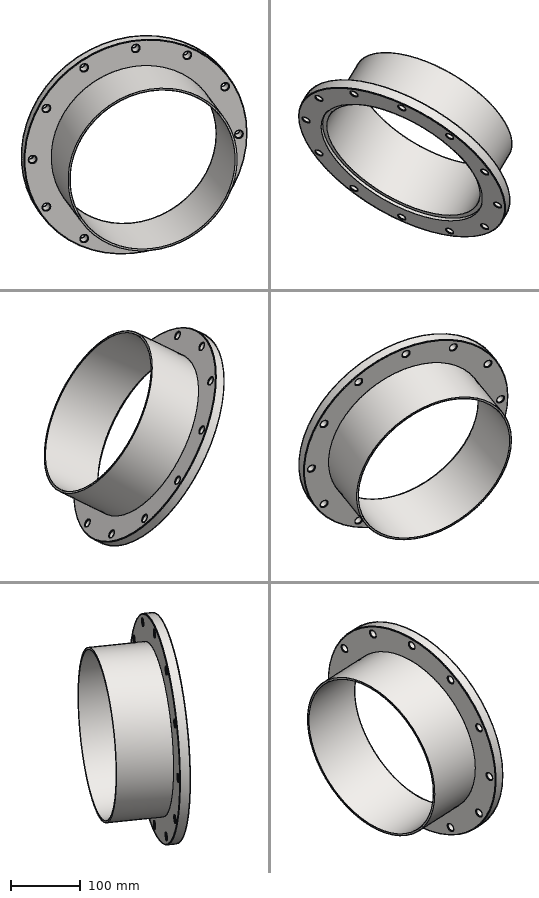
import cadquery as cq

total_length = 100.0
flange_diameter = 335.0
flange_thickness = 16.0
rim_chamfer = 1.0

tube_outer_diameter = 254.0
bore_diameter = 248.0
recess_diameter = 261.0
recess_depth = 5.0

bolt_hole_count = 12
bolt_hole_diameter = 11.0
bolt_circle_diameter = 310.0


def cylinder(diameter, length):
    """Solid cylinder along +X, starting at the flange face."""
    return cq.Workplane("YZ").circle(diameter / 2).extrude(length)


def bolt_holes():
    """Evenly spaced cylinders that cut through the flange."""
    return (
        cq.Workplane("YZ")
        .polarArray(bolt_circle_diameter / 2, 0, 360, bolt_hole_count)
        .circle(bolt_hole_diameter / 2)
        .extrude(flange_thickness)
    )


flange = cylinder(flange_diameter, flange_thickness).cut(bolt_holes())
flange = flange.faces("<X or >X").edges().chamfer(rim_chamfer)

body = flange.union(cylinder(tube_outer_diameter, total_length))
body = body.cut(cylinder(bore_diameter, total_length))
result = body.cut(cylinder(recess_diameter, recess_depth))